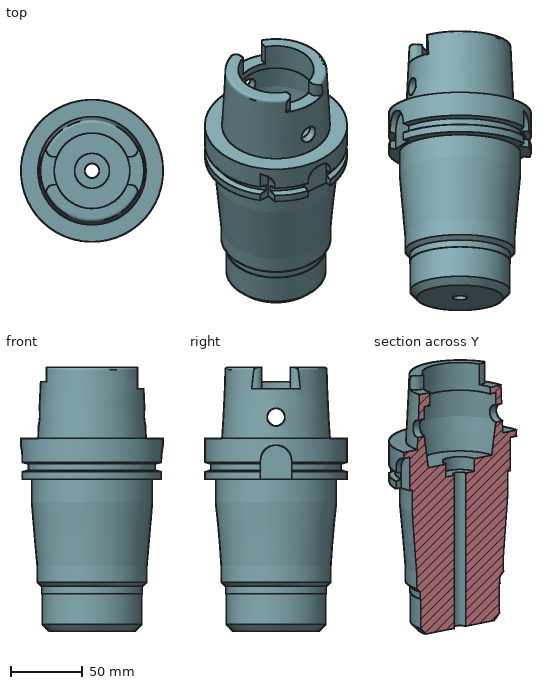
import cadquery as cq
import math

total_height = 185.6
shank_length = 50.0
flange_thickness = 29.0
flange_top = total_height - shank_length
flange_bottom = flange_top - flange_thickness
body_taper_top = 90.5
body_taper_bottom = 45.8
collar_bottom = 34.5
neck_top = 31.5
neck_bottom = 26.5
end_chamfer_height = 5.0

shank_base_radius = 38.0
shank_top_radius = 35.6
shank_edge_fillet = 2.0
flange_diameter = 100.0
flange_radius = flange_diameter / 2
body_radius = 42.5
collar_radius = 38.6
neck_radius = 35.5
nose_radius = 35.0
end_radius = 30.3

groove_diameter = 91.9
groove_radius = groove_diameter / 2
groove_top = 118.8
groove_bottom = 112.1
groove_wall_rise = 1.1

bore_radius = 26.5
bore_depth = 20.0
undercut_radius = 31.5
undercut_bottom = 145.3
bore_floor_radius = 27.8
bore_floor = 121.0
recess_radius = 12.2
recess_depth = 9.3
coolant_hole_radius = 5.0

drive_slot_width = 19.9
drive_slot_depth_minus_x = 10.2
drive_slot_depth_plus_x = 15.0
tooth_flat_distance = 32.1
tooth_corner_radius = 4.8

cross_hole_radius = 6.1
cross_hole_height = 150.5

keyway_top = 130.8
keyway_floor_distance = 44.5
keyway_width_minus_x = 19.9
keyway_width_plus_x = 21.9

notch_width = 19.9
notch_floor_distance = 31.4
notch_wall_distance = 31.5

cut_clearance = 9.3
reach = flange_radius + cut_clearance


def revolve_outline(points):
    """Turn a closed (radius, height) outline about the Z axis."""
    return cq.Workplane("XZ").polyline(points).close().revolve(360, (0, 0, 0), (0, 1, 0))


def turned_body():
    body = revolve_outline([
        (0, 0),
        (end_radius, 0),
        (nose_radius, end_chamfer_height),
        (nose_radius, neck_bottom),
        (neck_radius, neck_bottom),
        (neck_radius, neck_top),
        (collar_radius, collar_bottom),
        (collar_radius, body_taper_bottom),
        (body_radius, body_taper_top),
        (body_radius, flange_bottom),
        (flange_radius, flange_bottom),
        (flange_radius, groove_bottom),
        (groove_radius, groove_bottom + groove_wall_rise),
        (groove_radius, groove_top - groove_wall_rise),
        (flange_radius, groove_top),
        (flange_radius, flange_top),
        (shank_base_radius, flange_top),
        (shank_top_radius, total_height),
        (0, total_height),
    ])
    return body.faces(">Z").edges().fillet(shank_edge_fillet)


def axial_bore():
    undercut_top = total_height - bore_depth
    return revolve_outline([
        (0, 0),
        (coolant_hole_radius, 0),
        (coolant_hole_radius, bore_floor - recess_depth),
        (recess_radius, bore_floor - recess_depth),
        (recess_radius, bore_floor),
        (bore_floor_radius, bore_floor),
        (undercut_radius, undercut_bottom),
        (undercut_radius, undercut_top),
        (bore_radius, undercut_top),
        (bore_radius, total_height),
        (0, total_height),
    ])


def drive_slot(side, depth):
    """Slot on one side of X (side is +1 or -1), with rounded tooth corners and flats outside them."""
    half_width = drive_slot_width / 2
    corner_start = tooth_flat_distance - tooth_corner_radius
    corner_end = half_width + tooth_corner_radius
    arc_offset = tooth_corner_radius * math.sin(math.pi / 4)
    arc_x = side * (corner_start + arc_offset)
    arc_y = corner_end - arc_offset
    return (
        cq.Workplane("XY", origin=(0, 0, total_height - depth))
        .moveTo(0, -half_width)
        .lineTo(side * corner_start, -half_width)
        .threePointArc((arc_x, -arc_y), (side * tooth_flat_distance, -corner_end))
        .lineTo(side * tooth_flat_distance, -reach)
        .lineTo(side * reach, -reach)
        .lineTo(side * reach, reach)
        .lineTo(side * tooth_flat_distance, reach)
        .lineTo(side * tooth_flat_distance, corner_end)
        .threePointArc((arc_x, arc_y), (side * corner_start, half_width))
        .lineTo(0, half_width)
        .close()
        .extrude(depth)
    )


def round_topped_slot(side, width, floor_distance, center_y):
    """Slot milled along X into the flange, open at the flange's lower face."""
    radius = width / 2
    arc_height = keyway_top - radius
    return (
        cq.Workplane("YZ", origin=(side * floor_distance, 0, 0))
        .moveTo(center_y - radius, flange_bottom)
        .lineTo(center_y - radius, arc_height)
        .threePointArc((center_y, keyway_top), (center_y + radius, arc_height))
        .lineTo(center_y + radius, flange_bottom)
        .close()
        .extrude(side * (reach - floor_distance))
    )


cross_hole = (
    cq.Workplane("YZ", origin=(0, 0, cross_hole_height))
    .circle(cross_hole_radius)
    .extrude(reach, both=True)
)

result = (
    turned_body()
    .cut(axial_bore())
    .cut(drive_slot(-1, drive_slot_depth_minus_x))
    .cut(drive_slot(1, drive_slot_depth_plus_x))
    .cut(cross_hole)
    .cut(round_topped_slot(-1, keyway_width_minus_x, keyway_floor_distance, 0))
    .cut(round_topped_slot(1, keyway_width_plus_x, keyway_floor_distance, 0))
    .cut(round_topped_slot(-1, notch_width, notch_floor_distance, notch_wall_distance + notch_width / 2))
)